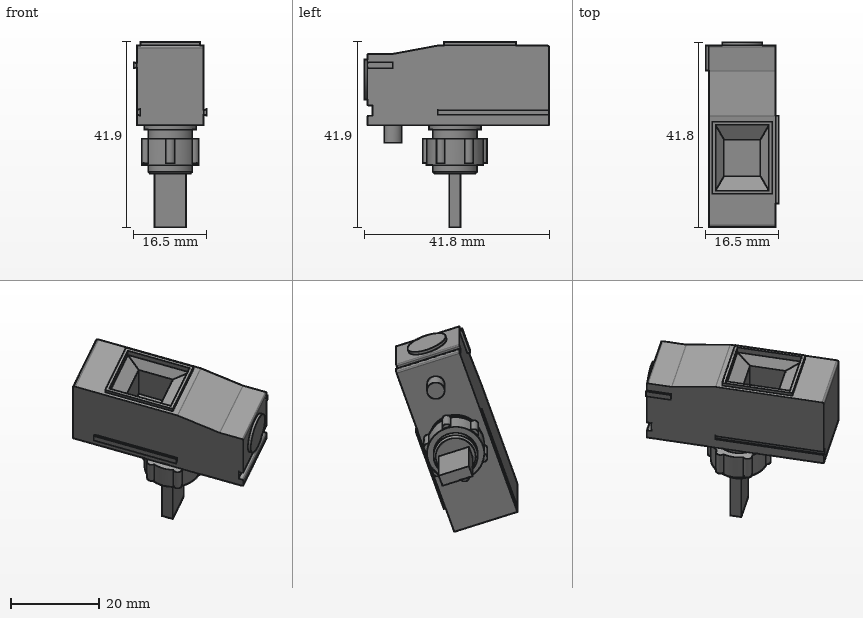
import cadquery as cq

total_height = 41.9
body_width = 15.1
body_length = 41.1
body_bottom = 23.05
frame_height = 0.8
body_top = total_height - frame_height
half_width = body_width / 2

rear_top = 39.2
slope_front_y = 25.2
slope_rear_y = 35.35
notch_bottom = 25.22
notch_top = 27.53
notch_depth = 1.15
front_top_radius = 0.5
edge_radius = 0.3

dovetail_depth = 0.7
dovetail_root = 0.95
upper_rib_crest = 1.42
upper_rib_z = 36.6
lower_dovetail_crest = 1.55
lower_dovetail_z = 25.98
lower_rib_front_y = 5.3

frame_width = 13.5
frame_front_y = 7.5
frame_rear_y = 23.8
frame_wall = 0.7
straight_depth = 1.45
funnel_depth = 1.75
shaft_size = 8.25
shaft_depth = shaft_size
frame_length = frame_rear_y - frame_front_y
frame_middle_y = (frame_front_y + frame_rear_y) / 2
opening_width = frame_width - 2 * frame_wall
opening_length = frame_length - 2 * frame_wall

disc_diameter = 9.1
disc_thickness = 0.7
disc_z = 33.4

pin_diameter = 4.0
pin_length = 3.95
pin_y = 35.32

neck_y = 21.33
collar_diameter = 11.8
collar_bottom = 22.1
neck_diameter = 10.0
neck_bottom = 12.05
neck_chamfer = 0.5
nut_diameter = 12.9
nut_top = 20.05
nut_bottom = 14.08
lobe_bottom = 14.5
lobe_count = 6
lobe_radius = 1.05
lobe_tip_radius = 7.3
blade_width = 7.2
blade_thickness = 2.6


def make_body():
    """Block with a sloped top and a notched rear face, extruded across its width."""
    notch_floor_y = body_length - notch_depth
    outline = [
        (0, body_bottom),
        (body_length, body_bottom),
        (body_length, notch_bottom),
        (notch_floor_y, notch_bottom),
        (notch_floor_y, notch_top),
        (body_length, notch_top),
        (body_length, rear_top),
        (slope_rear_y, rear_top),
        (slope_front_y, body_top),
        (0, body_top),
    ]
    block = cq.Workplane("YZ").polyline(outline).close().extrude(half_width, both=True)
    rounded = block.faces(">Y").edges("|X").fillet(edge_radius)
    rounded = rounded.faces("<Y").edges("<Z").fillet(edge_radius)
    return rounded.faces("<Y").edges(">Z").fillet(front_top_radius)


def make_dovetail(root_x, outward, middle_z, crest, front_y, rear_y):
    """Bar along Y that widens from root_x towards +X (outward = 1) or -X (outward = -1)."""
    crest_x = root_x + outward * dovetail_depth
    outline = [
        (root_x, middle_z - dovetail_root / 2),
        (crest_x, middle_z - crest / 2),
        (crest_x, middle_z + crest / 2),
        (root_x, middle_z + dovetail_root / 2),
    ]
    section = cq.Workplane("XZ", origin=(0, front_y, 0)).polyline(outline).close()
    return section.extrude(front_y - rear_y)


def make_frame():
    """Raised rectangle around the opening."""
    base = cq.Workplane("XY", origin=(0, frame_middle_y, body_top))
    return base.rect(frame_width, frame_length).extrude(frame_height)


def make_opening():
    """Straight mouth, tapered funnel and square shaft, from top to bottom."""
    funnel_top = total_height - straight_depth
    funnel_bottom = funnel_top - funnel_depth
    mouth_plane = cq.Workplane("XY", origin=(0, frame_middle_y, funnel_top))
    mouth = mouth_plane.rect(opening_width, opening_length).extrude(straight_depth)
    funnel = (
        mouth_plane.rect(opening_width, opening_length)
        .workplane(offset=-funnel_depth)
        .rect(shaft_size, shaft_size)
        .loft(ruled=True)
    )
    shaft_plane = cq.Workplane("XY", origin=(0, frame_middle_y, funnel_bottom))
    shaft = shaft_plane.rect(shaft_size, shaft_size).extrude(-shaft_depth)
    return mouth.union(funnel).union(shaft)


def make_cylinder(diameter, middle_y, bottom, top):
    """Upright cylinder on the middle plane."""
    return cq.Workplane("XY", origin=(0, middle_y, bottom)).circle(diameter / 2).extrude(top - bottom)


def make_rear_disc():
    plane = cq.Workplane("XZ", origin=(0, body_length, disc_z))
    return plane.circle(disc_diameter / 2).extrude(-disc_thickness)


def make_nut():
    """Round nut with grip lobes; one lobe points along +Y."""
    nut = make_cylinder(nut_diameter, neck_y, nut_bottom, nut_top)
    lobes = (
        cq.Workplane("XY", origin=(0, neck_y, lobe_bottom))
        .polarArray(lobe_tip_radius - lobe_radius, 90, 360, lobe_count)
        .circle(lobe_radius)
        .extrude(nut_top - lobe_bottom)
    )
    return nut.union(lobes)


def make_neck():
    """Collar, neck, nut and blade on one vertical axis."""
    collar = make_cylinder(collar_diameter, neck_y, collar_bottom, body_bottom)
    neck = make_cylinder(neck_diameter, neck_y, neck_bottom, body_bottom)
    neck = neck.faces("<Z").chamfer(neck_chamfer)
    blade_plane = cq.Workplane("XY", origin=(0, neck_y, 0))
    blade = blade_plane.rect(blade_width, blade_thickness).extrude(neck_bottom)
    return collar.union(neck).union(make_nut()).union(blade)


upper_rib = make_dovetail(
    -half_width, -1, upper_rib_z, upper_rib_crest, slope_rear_y, body_length
)
lower_rib = make_dovetail(
    half_width, 1, lower_dovetail_z, lower_dovetail_crest, lower_rib_front_y, slope_front_y
)
lower_groove = make_dovetail(
    -half_width, 1, lower_dovetail_z, lower_dovetail_crest, 0, slope_front_y
)

result = make_body().union(make_frame()).cut(make_opening())
result = result.cut(lower_groove).union(upper_rib).union(lower_rib)
result = result.union(make_rear_disc())
result = result.union(make_cylinder(pin_diameter, pin_y, body_bottom - pin_length, body_bottom))
result = result.union(make_neck())